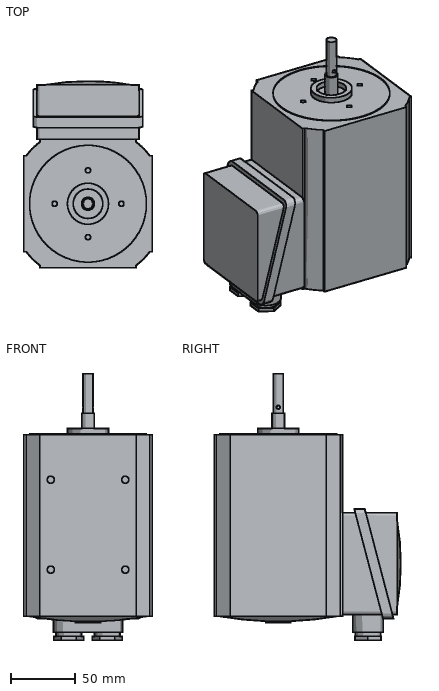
import cadquery as cq
import math

HOUSING_SIDE = 100.0
FLAT_WIDTH = 75.0
CORNER_RADIUS = 61.0
BOTTOM_COVER_HEIGHT = 9.5
BARREL_HEIGHT = 124.0
TOP_COVER_HEIGHT = 8.0
HOUSING_TOP = BOTTOM_COVER_HEIGHT + BARREL_HEIGHT + TOP_COVER_HEIGHT

FACE_DISC_DIAMETER = 91.0
FACE_DISC_HEIGHT = 0.5
PILOT_DIAMETER = 32.0
PILOT_BORE = 23.0
PILOT_HEIGHT = 4.8
FACE_HOLE_DIAMETER = 4.0
FACE_HOLE_CIRCLE_RADIUS = 26.0
FACE_HOLE_DEPTH = 10.0

SHAFT_DIAMETER = 10.0
SHAFT_SHOULDER_HEIGHT = 16.7
SHAFT_TIP_DIAMETER = 8.0
SHAFT_TIP_HEIGHT = 47.4
PIN_HOLE_DIAMETER = 2.5
PIN_HOLE_HEIGHT = 21.3

SIDE_HOLE_DIAMETER = 5.5
SIDE_HOLE_SPACING_X = 58.0
SIDE_HOLE_SPACING_Z = 70.0
SIDE_HOLE_CENTRE_Z = 71.4
SIDE_HOLE_DEPTH = 10.0

BOTTOM_DOME_DIAMETER = 91.0
BOTTOM_DOME_HEIGHT = 4.0
BUTTON_DIAMETER = 19.5
BUTTON_DEPTH = 5.0

BOX_SIDE = 79.5
BOX_DEPTH = 42.5
BOX_CORNER_RADIUS = 3.2
BOX_CENTRE_Z = 41.0
BOX_DOME_DIAMETER = 68.0
BOX_DOME_HEIGHT = 3.0

COLLAR_OVERHANG = 3.0
COLLAR_CORNER_RADIUS = 5.0
COLLAR_WIDTH_Y = 8.2
COLLAR_TILT = 14.7
COLLAR_CENTRE_OFFSET = 24.4

GLAND_SPACING = 30.0
GLAND_OFFSET = 19.8
GLAND_BLOCK_WIDTH = 24.0
GLAND_BLOCK_BOTTOM = -12.4
GLAND_NECK_DIAMETER = 20.0
GLAND_NECK_BOTTOM = -15.6
GLAND_NUT_BOTTOM = -18.6
GLAND_NUT_ACROSS_FLATS = 20.5

HOUSING_BACK_Y = HOUSING_SIDE / 2
BOX_BACK_Y = HOUSING_BACK_Y + BOX_DEPTH


def cylinder(diameter, z_start, z_end, x=0.0, y=0.0):
    """Upright cylinder between two heights."""
    return cq.Workplane("XY", origin=(x, y, z_start)).circle(diameter / 2).extrude(z_end - z_start)


def dome(diameter, height):
    """Shallow spherical cap rising in +Z from the XY plane."""
    rim_radius = diameter / 2
    sphere_radius = (rim_radius ** 2 + height ** 2) / (2 * height)
    return (
        cq.Workplane("XZ")
        .lineTo(rim_radius, 0)
        .radiusArc((0, height), -sphere_radius)
        .close()
        .revolve(360, (0, 0), (0, 1))
    )


def turn_about_z(point, degrees):
    """Turn a plane point counterclockwise about the Z axis."""
    x, y = point
    angle = math.radians(degrees)
    return (
        x * math.cos(angle) - y * math.sin(angle),
        x * math.sin(angle) + y * math.cos(angle),
    )


def housing_section(z_start, height):
    """Prism with flat sides and stepped, rounded corners."""
    side = HOUSING_SIDE / 2
    flat = FLAT_WIDTH / 2
    step = math.sqrt(CORNER_RADIUS ** 2 - flat ** 2)
    middle = CORNER_RADIUS / math.sqrt(2)
    quarter_points = ((side, flat), (step, flat), (middle, middle), (flat, step), (flat, side))
    outline = cq.Workplane("XY", origin=(0, 0, z_start)).moveTo(side, -flat)
    for degrees in (0, 90, 180, 270):
        flat_end, arc_start, arc_middle, arc_end, next_flat = [
            turn_about_z(point, degrees) for point in quarter_points
        ]
        outline = outline.lineTo(*flat_end).lineTo(*arc_start)
        outline = outline.threePointArc(arc_middle, arc_end)
        outline = outline.lineTo(*next_flat)
    return outline.close().extrude(height)


def make_housing():
    """Bottom cover, barrel and top cover, keeping the seams between them."""
    housing = housing_section(0, BOTTOM_COVER_HEIGHT)
    barrel = housing_section(BOTTOM_COVER_HEIGHT, BARREL_HEIGHT)
    top_cover = housing_section(BOTTOM_COVER_HEIGHT + BARREL_HEIGHT, TOP_COVER_HEIGHT)
    return housing.union(barrel, clean=False).union(top_cover, clean=False)


def make_top_face():
    disc_top = HOUSING_TOP + FACE_DISC_HEIGHT
    pilot_top = HOUSING_TOP + PILOT_HEIGHT
    disc = cylinder(FACE_DISC_DIAMETER, HOUSING_TOP, disc_top)
    pilot = cylinder(PILOT_DIAMETER, disc_top, pilot_top)
    return disc.union(pilot.cut(cylinder(PILOT_BORE, disc_top, pilot_top)))


def make_face_holes():
    return (
        cq.Workplane("XY", origin=(0, 0, HOUSING_TOP + FACE_DISC_HEIGHT))
        .polarArray(FACE_HOLE_CIRCLE_RADIUS, 0, 360, 4)
        .circle(FACE_HOLE_DIAMETER / 2)
        .extrude(-FACE_HOLE_DEPTH)
    )


def make_shaft():
    """Stepped shaft with a cross hole along X through its tip."""
    shoulder = HOUSING_TOP + SHAFT_SHOULDER_HEIGHT
    shaft = cylinder(SHAFT_DIAMETER, HOUSING_TOP, shoulder)
    shaft = shaft.union(cylinder(SHAFT_TIP_DIAMETER, shoulder, HOUSING_TOP + SHAFT_TIP_HEIGHT))
    pin_hole = (
        cq.Workplane("YZ", origin=(0, 0, HOUSING_TOP + PIN_HOLE_HEIGHT))
        .circle(PIN_HOLE_DIAMETER / 2)
        .extrude(SHAFT_DIAMETER, both=True)
    )
    return shaft.cut(pin_hole)


def make_side_holes():
    return (
        cq.Workplane("XZ", origin=(0, -HOUSING_SIDE / 2, SIDE_HOLE_CENTRE_Z))
        .rarray(SIDE_HOLE_SPACING_X, SIDE_HOLE_SPACING_Z, 2, 2)
        .circle(SIDE_HOLE_DIAMETER / 2)
        .extrude(-SIDE_HOLE_DEPTH)
    )


def make_bottom_dome():
    cap = dome(BOTTOM_DOME_DIAMETER, BOTTOM_DOME_HEIGHT).rotate((0, 0, 0), (1, 0, 0), 180)
    return cap.union(cylinder(BUTTON_DIAMETER, -BUTTON_DEPTH, 0))


def make_terminal_box():
    box = (
        cq.Workplane("XZ", origin=(0, HOUSING_BACK_Y, BOX_CENTRE_Z))
        .rect(BOX_SIDE, BOX_SIDE)
        .extrude(-BOX_DEPTH)
        .edges("|Y")
        .fillet(BOX_CORNER_RADIUS)
    )
    cap = dome(BOX_DOME_DIAMETER, BOX_DOME_HEIGHT).rotate((0, 0, 0), (1, 0, 0), -90)
    return box.union(cap.translate((0, BOX_BACK_Y, BOX_CENTRE_Z)))


def make_collar():
    """Rounded band whose front and back faces lean towards -Y at the top."""
    collar_side = BOX_SIDE + 2 * COLLAR_OVERHANG
    half_height = collar_side / 2
    half_width = COLLAR_WIDTH_Y / 2
    lean = half_height * math.tan(math.radians(COLLAR_TILT))
    slab = (
        cq.Workplane("YZ", origin=(0, HOUSING_BACK_Y + COLLAR_CENTRE_OFFSET, BOX_CENTRE_Z))
        .polyline([
            (lean - half_width, -half_height),
            (lean + half_width, -half_height),
            (-lean + half_width, half_height),
            (-lean - half_width, half_height),
        ])
        .close()
        .extrude(half_height, both=True)
    )
    rounded_column = (
        cq.Workplane("XZ", origin=(0, HOUSING_BACK_Y, BOX_CENTRE_Z))
        .rect(collar_side, collar_side)
        .extrude(-BOX_DEPTH)
        .edges("|Y")
        .fillet(COLLAR_CORNER_RADIUS)
    )
    return slab.intersect(rounded_column)


def make_glands():
    """Round-ended block carrying two necks with hexagon nuts, corners along X."""
    gland_y = HOUSING_BACK_Y + GLAND_OFFSET
    box_bottom = BOX_CENTRE_Z - BOX_SIDE / 2
    nut_across_corners = GLAND_NUT_ACROSS_FLATS / math.cos(math.radians(30))
    glands = (
        cq.Workplane("XY", origin=(0, gland_y, GLAND_BLOCK_BOTTOM))
        .slot2D(GLAND_SPACING + GLAND_BLOCK_WIDTH, GLAND_BLOCK_WIDTH)
        .extrude(box_bottom - GLAND_BLOCK_BOTTOM)
    )
    for x in (-GLAND_SPACING / 2, GLAND_SPACING / 2):
        neck = cylinder(GLAND_NECK_DIAMETER, GLAND_NECK_BOTTOM, GLAND_BLOCK_BOTTOM, x, gland_y)
        nut = (
            cq.Workplane("XY", origin=(x, gland_y, GLAND_NUT_BOTTOM))
            .polygon(6, nut_across_corners)
            .extrude(GLAND_NECK_BOTTOM - GLAND_NUT_BOTTOM)
        )
        glands = glands.union(neck).union(nut)
    return glands


result = make_housing()
additions = (
    make_top_face(),
    make_shaft(),
    make_bottom_dome(),
    make_terminal_box(),
    make_collar(),
    make_glands(),
)
for addition in additions:
    result = result.union(addition, clean=False)
result = result.cut(make_face_holes(), clean=False).cut(make_side_holes(), clean=False)